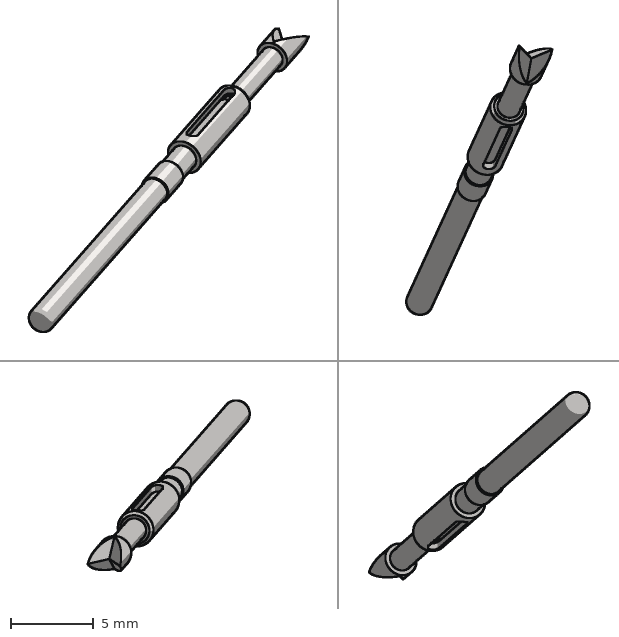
import cadquery as cq

total_length = 35.1
tip_y = total_length / 2

head_radius = 1.0
head_length = 3.0
plunger_radius = 0.7
notch_depth_at_axis = 1.4
notch_depth_at_rim = 2.77

collar_radius = 1.105
collar_front = 8.1
collar_length = 7.0
collar_chamfer = 0.2

slot_width = 0.75
slot_front = 8.55
slot_end = 14.32

recess_width = 0.53
recess_clearance = (slot_width - recess_width) / 2
recess_front = slot_front + recess_clearance
recess_end = 9.25
recess_floor = 0.55

barrel_radius = 0.8
ring_radius = 0.895
ring_gap = 2.0
ring_length = 2.0
rear_rounding = 0.3


def cylinder(radius, start, length):
    """Round section that begins `start` behind the tip and runs rearwards."""
    plane = cq.Plane(origin=(0, tip_y - start, 0), xDir=(1, 0, 0), normal=(0, -1, 0))
    return cq.Workplane(plane).circle(radius).extrude(length)


def notch_quarter(side_x, side_z):
    """Wedge whose sloping flat forms one quarter of the forked head."""
    reach = 2
    axis_y = tip_y - notch_depth_at_axis
    drop = notch_depth_at_rim - notch_depth_at_axis
    x = side_x * head_radius
    z = side_z * head_radius * reach
    apex = cq.Vector(0, axis_y, 0)
    point = cq.Vector(x, tip_y, 0)
    valley_end = cq.Vector(0, axis_y - drop * reach, z)
    corner = cq.Vector(x, tip_y - drop * reach, z)
    flat = cq.Wire.makePolygon([apex, point, corner, valley_end], close=True)
    sweep = cq.Vector(0, total_length, 0)
    return cq.Workplane(obj=cq.Solid.extrudeLinear(flat, [], sweep))


def forked_head():
    """Round head ground by four flats into two points at its -X and +X sides."""
    head = cylinder(head_radius, 0, head_length)
    for side_x in (-1, 1):
        for side_z in (-1, 1):
            head = head.cut(notch_quarter(side_x, side_z))
    return head


def collar():
    """Sleeve around the plunger, with a round-ended slot above and below."""
    body = cylinder(collar_radius, collar_front, collar_length)
    body = body.faces(">Y").chamfer(collar_chamfer)
    bore = cylinder(plunger_radius, collar_front, collar_length)
    slot_length = slot_end - slot_front
    slot_centre = tip_y - (slot_front + slot_end) / 2
    slots = (
        cq.Workplane("XY")
        .center(0, slot_centre)
        .slot2D(slot_length, slot_width, 90)
        .extrude(collar_radius, both=True)
    )
    return body.cut(bore).cut(slots)


def plunger_recess():
    """Upper recess cutter, round at the front and square at the rear."""
    half_width = recess_width / 2
    shoulder_y = tip_y - recess_front - half_width
    rear_y = tip_y - recess_end
    return (
        cq.Workplane("XY", origin=(0, 0, recess_floor))
        .moveTo(-half_width, rear_y)
        .lineTo(-half_width, shoulder_y)
        .threePointArc((0, shoulder_y + half_width), (half_width, shoulder_y))
        .lineTo(half_width, rear_y)
        .close()
        .extrude(plunger_radius)
    )


def plunger():
    """Round rod that runs from the head through the whole collar."""
    rod = cylinder(plunger_radius, head_length, collar_front + collar_length - head_length)
    recess = plunger_recess()
    return rod.cut(recess).cut(recess.mirror("XY"))


def barrel():
    """Rear tube with a raised press ring."""
    collar_end = collar_front + collar_length
    tube = cylinder(barrel_radius, collar_end, total_length - collar_end)
    tube = tube.faces("<Y").edges().fillet(rear_rounding)
    return tube.union(cylinder(ring_radius, collar_end + ring_gap, ring_length))


result = forked_head().union(plunger()).union(collar()).union(barrel())